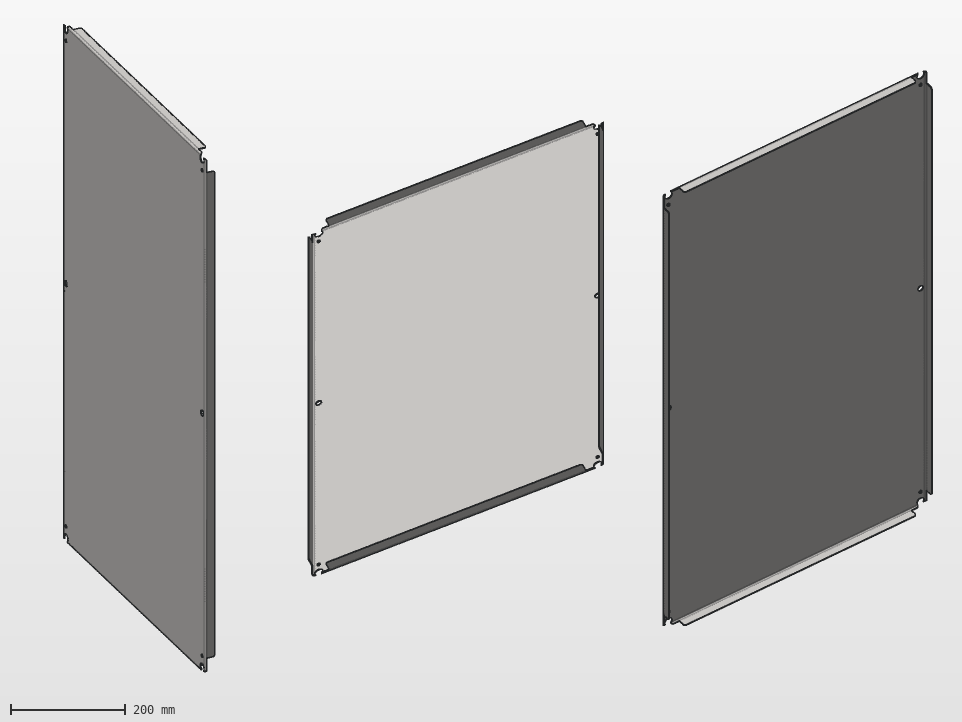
import cadquery as cq

WIDTH = 563.0
DEPTH = 19.0
HEIGHT = 1020.0
SHEET = 2.0
BEND_RADIUS = 4.0

SIDE_FOLD_LENGTH = 1011.0
SIDE_FLANGE_LENGTH = 957.0
END_FOLD_LENGTH = 529.0
END_FLANGE_LENGTH = 496.0
FLANGE_CORNER = 4.0
FOLD_CORNER = 3.0

RELIEF_DIAMETER = 15.0
RELIEF_CENTER_Z = 501.0
RELIEF_SLOT_WIDTH = 10.0

HOLE_INSET = 12.0
CORNER_HOLE_DIAMETER = 6.0
CORNER_HOLE_Z = 479.0
MIDDLE_HOLE_DIAMETER = 11.0

FRONT_Y = -DEPTH / 2
BACK_Y = DEPTH / 2
FOLD_BACK_Y = FRONT_Y + BEND_RADIUS
SIGNS = (-1, 1)
CORNERS = [(side, end) for side in SIGNS for end in SIGNS]


def slab(x_size, z_size, y_start, y_end):
    """Block centred on X and Z between two Y levels."""
    block = cq.Workplane("XY").box(x_size, y_end - y_start, z_size)
    return block.translate((0, (y_start + y_end) / 2, 0))


def tray_section(span):
    """U-shaped sheet across X, running along Z, with rounded front folds."""
    outer = slab(span, HEIGHT, FRONT_Y, BACK_Y)
    outer = outer.edges("|Z and <Y").fillet(BEND_RADIUS)
    inner = slab(span - 2 * SHEET, HEIGHT, FRONT_Y + SHEET, BACK_Y)
    inner = inner.edges("|Z and <Y").fillet(BEND_RADIUS - SHEET)
    return outer.cut(inner)


def channel(span, fold_length, flange_length):
    """Channel along Z: long folds in front, shorter flanges with rounded corners behind."""
    folds = slab(span, fold_length, FRONT_Y, FOLD_BACK_Y)
    folds = folds.edges("|X and >Y").chamfer(FOLD_CORNER)
    flanges = slab(span, flange_length, FOLD_BACK_Y, BACK_Y)
    flanges = flanges.edges("|X and >Y").fillet(FLANGE_CORNER)
    return tray_section(span).intersect(folds.union(flanges))


def hole_cutter(diameter, x, z):
    """Round cutter through the front sheet."""
    plane = cq.Workplane("XZ", origin=(x, FRONT_Y + SHEET, z))
    return plane.circle(diameter / 2).extrude(SHEET)


def relief_cutter(side, end):
    """Keyhole cutter: a round hole with a slot that opens at the top or bottom edge."""
    x = side * (END_FOLD_LENGTH + RELIEF_SLOT_WIDTH) / 2
    slot_length = HEIGHT / 2 - RELIEF_CENTER_Z
    slot_z = end * (RELIEF_CENTER_Z + slot_length / 2)
    slot = cq.Workplane("XY").box(RELIEF_SLOT_WIDTH, DEPTH, slot_length).translate((x, 0, slot_z))
    return slot.union(hole_cutter(RELIEF_DIAMETER, x, end * RELIEF_CENTER_Z))


side_channel = channel(WIDTH, SIDE_FOLD_LENGTH, SIDE_FLANGE_LENGTH)
end_channel = channel(HEIGHT, END_FOLD_LENGTH, END_FLANGE_LENGTH)
end_channel = end_channel.rotate((0, 0, 0), (0, 1, 0), 90)
result = side_channel.union(end_channel)

hole_x = WIDTH / 2 - HOLE_INSET
for side, end in CORNERS:
    result = result.cut(relief_cutter(side, end))
    result = result.cut(hole_cutter(CORNER_HOLE_DIAMETER, side * hole_x, end * CORNER_HOLE_Z))

for side in SIGNS:
    result = result.cut(hole_cutter(MIDDLE_HOLE_DIAMETER, side * hole_x, 0))